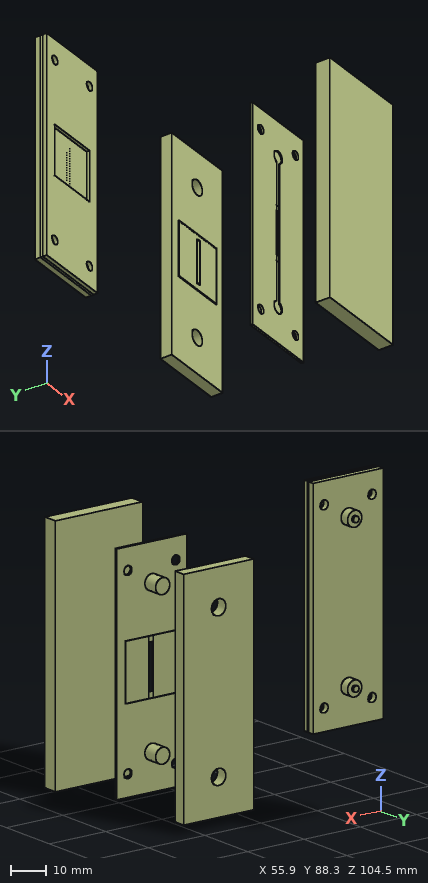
import cadquery as cq

TOTAL_WIDTH = 55.9
TOTAL_DEPTH = 88.3
TOTAL_HEIGHT = 104.5

SLAB_WIDTH = 31.0
SLAB_HEIGHT = 80.0
SLAB_THICKNESS = 5.0

PLATE_WIDTH = 25.0
PLATE_HEIGHT = 74.1

FRONT_THICKNESS = 1.4
CHANNEL_THICKNESS = 0.8
BACK_THICKNESS = 2.0
BLOCK_THICKNESS = 4.0

SCREW_DIAMETER = 2.8
SCREW_SPACING_X = 17.0
SCREW_SPACING_Z = 60.0

PIN_DIAMETER = 5.0
PIN_LENGTH = 5.0
PIN_SPACING = 50.0
PLUG_DIAMETER = 2.0
PLUG_LENGTH = 0.7

CHANNEL_WIDTH = 1.5
CHANNEL_DEPTH = 0.4
POOL_DIAMETER = 4.0

WINDOW_SIZE = 17.0
WINDOW_FLOOR = 0.3

FILM_SIZE = 18.5
FILM_THICKNESS = 0.3
RIDGE_HEIGHT = 14.5
RIDGE_DEPTH = 0.3

SLAB_X = TOTAL_WIDTH - SLAB_WIDTH / 2
SLAB_Z = SLAB_HEIGHT / 2
LOOSE_CHANNEL_Y = 28.8
BLOCK_Y = 56.8
STACK_X = PLATE_WIDTH / 2
STACK_Z = TOTAL_HEIGHT - PLATE_HEIGHT / 2
STACK_CHANNEL_Y = TOTAL_DEPTH - PLUG_LENGTH - PIN_LENGTH - CHANNEL_THICKNESS
STACK_BACK_Y = STACK_CHANNEL_Y + CHANNEL_THICKNESS
STACK_FRONT_Y = STACK_CHANNEL_Y - FRONT_THICKNESS
PLUG_Y = STACK_BACK_Y + PIN_LENGTH

PIN_POINTS = [(0, -PIN_SPACING / 2), (0, PIN_SPACING / 2)]


def sketch_plane(y):
    """Upright workplane at depth y, on which extrusions grow towards +Y and local y is Z."""
    return cq.Workplane(cq.Plane(origin=(0, y, 0), xDir=(1, 0, 0), normal=(0, -1, 0)))


def box(width, height, thickness, y=0):
    """Upright plate centred on X and Z, with its front face at depth y."""
    return sketch_plane(y).rect(width, height).extrude(-thickness)


def discs(points, diameter, length, y=0):
    """Cylinders along Y that start at depth y."""
    return sketch_plane(y).pushPoints(points).circle(diameter / 2).extrude(-length)


def screwed_plate(thickness):
    """Plate with a screw hole near each corner."""
    corners = sketch_plane(0).rect(SCREW_SPACING_X, SCREW_SPACING_Z, forConstruction=True).vertices()
    holes = corners.circle(SCREW_DIAMETER / 2).extrude(-thickness)
    return box(PLATE_WIDTH, PLATE_HEIGHT, thickness).cut(holes)


def make_slab():
    return box(SLAB_WIDTH, SLAB_HEIGHT, SLAB_THICKNESS)


def make_front_plate():
    """Screwed plate with a blind window."""
    window = box(WINDOW_SIZE, WINDOW_SIZE, FRONT_THICKNESS - WINDOW_FLOOR)
    return screwed_plate(FRONT_THICKNESS).cut(window)


def make_channel_plate():
    """Thin screwed plate with the flow channel in front and two pins behind."""
    slot = box(CHANNEL_WIDTH, PIN_SPACING, CHANNEL_DEPTH)
    pools = discs(PIN_POINTS, POOL_DIAMETER, CHANNEL_DEPTH)
    pins = discs(PIN_POINTS, PIN_DIAMETER, PIN_LENGTH, CHANNEL_THICKNESS)
    return screwed_plate(CHANNEL_THICKNESS).cut(slot).cut(pools).union(pins)


def make_loose_channel_plate():
    """Channel plate opened at the back to take the film and its ridge."""
    recess = box(FILM_SIZE, FILM_SIZE, FILM_THICKNESS, CHANNEL_THICKNESS - FILM_THICKNESS)
    ridge_slot = box(CHANNEL_WIDTH, RIDGE_HEIGHT, CHANNEL_THICKNESS)
    return make_channel_plate().cut(recess).cut(ridge_slot)


def make_back_plate():
    """Screwed plate that the pins of the channel plate pass through."""
    return screwed_plate(BACK_THICKNESS).cut(discs(PIN_POINTS, PIN_DIAMETER, BACK_THICKNESS))


def make_block():
    """Thick plate with two holes for the pins and no screw holes."""
    pin_holes = discs(PIN_POINTS, PIN_DIAMETER, BLOCK_THICKNESS)
    return box(PLATE_WIDTH, PLATE_HEIGHT, BLOCK_THICKNESS).cut(pin_holes)


def make_film():
    """Film whose back lies at depth zero, with the ridge on its front."""
    film = box(FILM_SIZE, FILM_SIZE, FILM_THICKNESS, -FILM_THICKNESS)
    ridge = box(CHANNEL_WIDTH, RIDGE_HEIGHT, RIDGE_DEPTH, -FILM_THICKNESS - RIDGE_DEPTH)
    return film.union(ridge)


slab = make_slab().translate((SLAB_X, 0, SLAB_Z))
loose_channel_plate = make_loose_channel_plate().translate((SLAB_X, LOOSE_CHANNEL_Y, SLAB_Z))
block = make_block().translate((SLAB_X, BLOCK_Y, SLAB_Z))
film = make_film().translate((SLAB_X, BLOCK_Y, SLAB_Z))

front_plate = make_front_plate().translate((STACK_X, STACK_FRONT_Y, STACK_Z))
stack_channel_plate = make_channel_plate().translate((STACK_X, STACK_CHANNEL_Y, STACK_Z))
back_plate = make_back_plate().translate((STACK_X, STACK_BACK_Y, STACK_Z))
plugs = [
    discs([point], PLUG_DIAMETER, PLUG_LENGTH).translate((STACK_X, PLUG_Y, STACK_Z))
    for point in PIN_POINTS
]

result = cq.Compound.makeCompound(
    [
        slab.val(),
        loose_channel_plate.val(),
        block.val(),
        film.val(),
        front_plate.val(),
        stack_channel_plate.val(),
        back_plate.val(),
        *[plug.val() for plug in plugs],
    ]
)